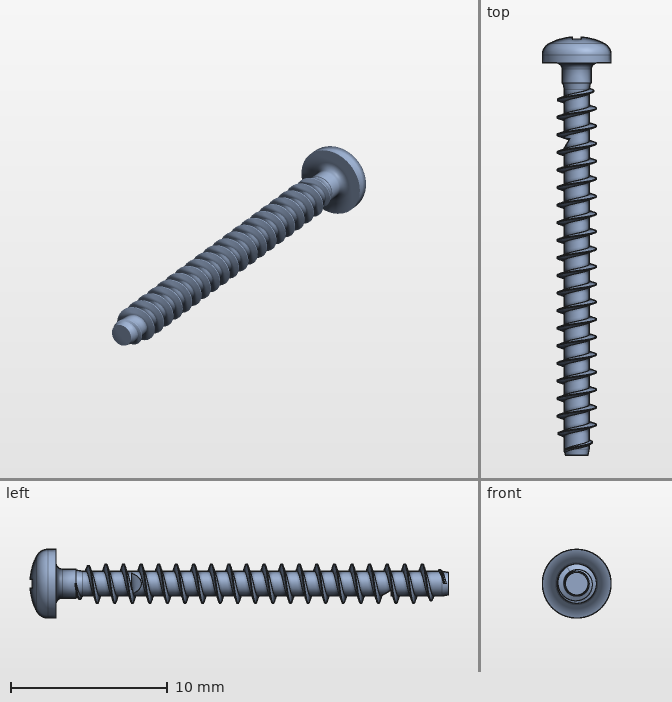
import cadquery as cq
import math


total_length = 26.67
head_diameter = 4.4
head_radius = head_diameter / 2
head_height = 1.68
rim_height = 0.5
corner_radius = 0.83

corner_x = head_radius - corner_radius
dome_rise = head_height - rim_height
dome_radius = (corner_x**2 + dome_rise**2 - corner_radius**2) / (2 * (dome_rise - corner_radius))
dome_z = head_height - dome_radius

recess_arm_width = 0.55
recess_reach = 1.01
recess_depth = 0.8

inner_corner_radius = recess_arm_width / math.sqrt(2)
top_z = dome_z + math.sqrt(dome_radius**2 - inner_corner_radius**2)

neck_radius = 0.93
neck_length = 1.28
neck_fillet = 0.4
core_radius = 0.8
shoulder_radius = 0.88
shoulder_length = 0.4
tip_radius = 0.72
tip_taper_length = 0.4
tip_z = top_z - total_length

pitch = 1.12
turns = 21
crest_radius = 1.25
crest_width = 0.05
root_width = 0.37
root_overlap = 0.08
thread_start_z = tip_z + 0.27
thread_end_z = thread_start_z + pitch * turns
points_per_turn = 24
tip_fade_length = 1.3
head_fade_length = 1.17

notch_depth = 0.37
notch_length = 0.65
head_notch_wall_z = -4.8
tip_notch_wall_z = -21.34


def make_head_and_core():
    """Revolve the domed head, filleted neck, core and tapered tip."""
    dome_angle = math.atan2(corner_x, rim_height - dome_z)

    def on_dome(angle):
        return dome_radius * math.sin(angle), dome_z + dome_radius * math.cos(angle)

    corner_angle = (dome_angle + math.pi / 2) / 2
    corner_mid = (
        corner_x + corner_radius * math.sin(corner_angle),
        rim_height + corner_radius * math.cos(corner_angle),
    )
    fillet_inset = neck_fillet * (1 - math.sqrt(0.5))

    return (
        cq.Workplane("XZ")
        .moveTo(0, head_height)
        .threePointArc(on_dome(dome_angle / 2), on_dome(dome_angle))
        .threePointArc(corner_mid, (head_radius, rim_height))
        .lineTo(head_radius, 0)
        .lineTo(neck_radius + neck_fillet, 0)
        .threePointArc((neck_radius + fillet_inset, -fillet_inset), (neck_radius, -neck_fillet))
        .lineTo(neck_radius, -neck_length)
        .lineTo(shoulder_radius, -neck_length)
        .lineTo(core_radius, -neck_length - shoulder_length)
        .lineTo(core_radius, tip_z + tip_taper_length)
        .lineTo(tip_radius, tip_z)
        .lineTo(0, tip_z)
        .close()
        .revolve(360, (0, 0, 0), (0, 1, 0))
    )


def make_recess():
    """Cross recess sunk into the top of the head, with arms along both side axes."""
    floor = cq.Workplane("XY").workplane(offset=head_height - recess_depth)
    arm_x = floor.rect(2 * recess_reach, recess_arm_width).extrude(recess_depth)
    arm_y = floor.rect(recess_arm_width, 2 * recess_reach).extrude(recess_depth)
    return arm_x.union(arm_y)


def make_notch(wall_z, slope_direction):
    """Wedge on the -X side: a square wall at wall_z, sloping out along slope_direction."""
    floor_x = notch_depth - core_radius
    return (
        cq.Workplane("XZ")
        .moveTo(floor_x, wall_z)
        .lineTo(-core_radius, wall_z + slope_direction * notch_length)
        .lineTo(-crest_radius, wall_z + slope_direction * notch_length)
        .lineTo(-crest_radius, wall_z)
        .close()
        .extrude(core_radius, both=True)
    )


def crest_at(z):
    """Crest radius at height z: full along most of the thread, faded at both ends."""
    from_tip = (z - thread_start_z) / tip_fade_length
    from_head = (thread_end_z - z) / head_fade_length
    tip_crest = core_radius + from_tip * (crest_radius - core_radius)
    head_crest = neck_radius + from_head * (crest_radius - neck_radius)
    return min(crest_radius, tip_crest, head_crest)


def root_at(z):
    """Root radius at height z, constant and just inside the core."""
    return core_radius - root_overlap


def make_ridge_edge(radius_at, z_shift, z_start, z_end):
    """Right-handed helical spline, radius_at(z) from the axis and raised by z_shift."""
    steps = math.ceil(points_per_turn * (z_end - z_start) / pitch)
    points = []
    for step in range(steps + 1):
        z = z_start + (z_end - z_start) * step / steps
        angle = math.pi + 2 * math.pi * (z - thread_start_z) / pitch
        radius = radius_at(z)
        points.append(cq.Vector(radius * math.cos(angle), radius * math.sin(angle), z + z_shift))
    return cq.Edge.makeSpline(points)


def make_end_cap(edges, end):
    """Flat face across the ridge edges at their start (0) or their end (1)."""
    corners = [edge.positionAt(end) for edge in edges]
    return cq.Face.makeFromWires(cq.Wire.makePolygon(corners, close=True))


def make_thread():
    """Trapezoid ridge with ruled flanks: a fade, stretches of about one turn, a fade."""
    profile = [
        (root_at, -root_width / 2),
        (crest_at, -crest_width / 2),
        (crest_at, crest_width / 2),
        (root_at, root_width / 2),
    ]
    full_start = thread_start_z + tip_fade_length
    full_length = thread_end_z - head_fade_length - full_start
    stretches = math.ceil(full_length / pitch)
    full_breaks = [full_start + full_length * i / stretches for i in range(stretches + 1)]
    breaks = [thread_start_z, *full_breaks, thread_end_z]

    faces = []
    for z_start, z_end in zip(breaks, breaks[1:]):
        edges = [make_ridge_edge(radius_at, shift, z_start, z_end) for radius_at, shift in profile]
        for edge, next_edge in zip(edges, edges[1:] + edges[:1]):
            faces.append(cq.Face.makeRuledSurface(edge, next_edge))
        if z_start == thread_start_z:
            faces.append(make_end_cap(edges, 0))
        if z_end == thread_end_z:
            faces.append(make_end_cap(edges, 1))
    return cq.Solid.makeSolid(cq.Shell.makeShell(faces))


body = make_head_and_core().cut(make_recess())

head_notch = make_notch(head_notch_wall_z, -1)
tip_notch = make_notch(tip_notch_wall_z, 1).rotate((0, 0, 0), (0, 0, 1), -90)
body = body.cut(head_notch).cut(tip_notch)

screw = body.union(cq.Workplane(make_thread()))
result = screw.rotate((0, 0, 0), (1, 0, 0), -90).solids()